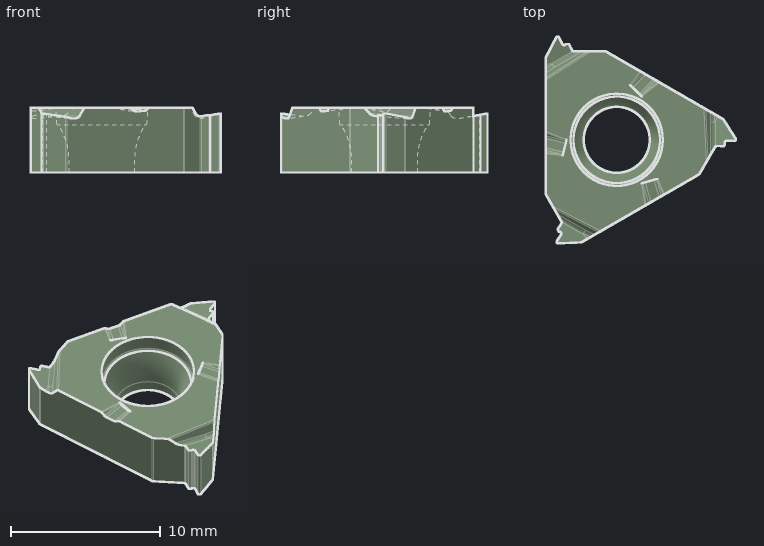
import cadquery as cq
import math

CORNERS = 3
STEP_ANGLE = 360 / CORNERS
OVERALL_WIDTH = 13.84
THICKNESS = 4.35
INNER_RADIUS = 4.76

FLANK_HALF_ANGLE = math.radians(27.5)
TIP_RADIUS = 0.11
TIP_CENTRE_Y = 6.8
SHOULDER_Y = 5.94
ROOT_Y = 6.34
CREST_Y = 6.42
ROOT_END_X = -3.46
CREST_START_X = -3.39
FOOT_X = -2.95
SIDE_BLEND = 0.25
SHOULDER_BLEND = 0.2
ROOT_BLEND = 0.08
CREST_BLEND = 0.05
FOOT_BLEND = 0.11

HOLE_RADIUS = 4.4 / 2
BORE_TOP_RADIUS = 3.09
BORE_RADIUS = 3.02
BORE_DEPTH = 1.05
BORE_CORNER_RADIUS = 0.12
SEAT_ARC_RADIUS = 4.25

RAKE_START_X = 7.96
RAKE_START_DEPTH = 0.39
RAKE_SLOPE = 0.17
GROOVE_FALL = 0.08
GROOVE_WALL_X = 6.0
GROOVE_WALL_ANGLE = math.radians(60)
GROOVE_ROOT_RADIUS = 0.3
GROOVE_MAX_DEPTH = 0.72
GROOVE_EDGE_RADIUS = 0.14
GROOVE_HALF_LENGTH = 3.05
GROOVE_MARGIN = 0.69

NOTCH_SIDE_Y = -0.21
NOTCH_TURN = 14.0
NOTCH_LENGTH = 1.31
NOTCH_DEPTH = 0.25
NOTCH_END_DEPTH = 0.1
NOTCH_FLOOR_HALF_WIDTH = 0.3
NOTCH_ROOT_RADIUS = 0.25
NOTCH_WALL_ANGLE = math.radians(42)
NOTCH_EDGE_RADIUS = 0.11
NOTCH_MARGIN = 0.42


def rotate_point(x, y, degrees):
    angle = math.radians(degrees)
    return (
        x * math.cos(angle) - y * math.sin(angle),
        x * math.sin(angle) + y * math.cos(angle),
    )


def rounded_outline(corners, plane):
    """Closed outline through (x, y, radius) corners; a radius above zero gives a tangent arc."""
    path = cq.Workplane(plane)
    for i, (x, y, radius) in enumerate(corners):
        corner = cq.Vector(x, y)
        before = cq.Vector(*corners[i - 1][:2])
        after = cq.Vector(*corners[(i + 1) % len(corners)][:2])
        to_before = (before - corner).normalized()
        to_after = (after - corner).normalized()
        half_angle = to_before.getAngle(to_after) / 2
        setback = radius / math.tan(half_angle)
        arc_start = corner + to_before * setback
        move = path.lineTo if i > 0 else path.moveTo
        path = move(arc_start.x, arc_start.y)
        if radius > 0:
            bisector = (to_before + to_after).normalized()
            middle = corner + bisector * (radius / math.sin(half_angle) - radius)
            arc_end = corner + to_after * setback
            path = path.threePointArc((middle.x, middle.y), (arc_end.x, arc_end.y))
    return path.close()


def tooth_corners():
    """Outline corners of one tooth, clockwise from its long-side flank to the next long side."""
    flank_run = math.tan(FLANK_HALF_ANGLE)
    step = math.radians(STEP_ANGLE)
    tip_x = -(OVERALL_WIDTH - 2 * TIP_RADIUS - TIP_CENTRE_Y * (1 - math.cos(step))) / math.sin(step)
    apex_y = TIP_CENTRE_Y + TIP_RADIUS / math.sin(FLANK_HALF_ANGLE)
    flank_end_y = apex_y - (INNER_RADIUS + tip_x) / flank_run
    root_start_x = tip_x + (apex_y - ROOT_Y) * flank_run
    crest_end_x = FOOT_X - (CREST_Y - SHOULDER_Y) * flank_run
    shoulder_end_x = (INNER_RADIUS - SHOULDER_Y * math.sin(step)) / -math.cos(step)
    return [
        (-INNER_RADIUS, flank_end_y, SIDE_BLEND),
        (tip_x, apex_y, TIP_RADIUS),
        (root_start_x, ROOT_Y, ROOT_BLEND),
        (ROOT_END_X, ROOT_Y, CREST_BLEND),
        (CREST_START_X, CREST_Y, CREST_BLEND),
        (crest_end_x, CREST_Y, CREST_BLEND),
        (FOOT_X, SHOULDER_Y, FOOT_BLEND),
        (shoulder_end_x, SHOULDER_Y, SHOULDER_BLEND),
    ]


def make_body():
    corners = []
    for i in range(CORNERS):
        for x, y, radius in tooth_corners():
            corners.append((*rotate_point(x, y, -i * STEP_ANGLE), radius))
    return rounded_outline(corners, "XY").extrude(THICKNESS)


def make_hole_cutter():
    """Hole, seat arc tangent to the hole, and bore, turned about the Z axis."""
    bore_z = THICKNESS - BORE_DEPTH
    corner_centre = BORE_RADIUS - BORE_CORNER_RADIUS
    seat_top = (corner_centre, bore_z - BORE_CORNER_RADIUS)
    seat_centre_r = HOLE_RADIUS + SEAT_ARC_RADIUS
    seat_angle = math.acos((seat_centre_r - seat_top[0]) / SEAT_ARC_RADIUS)
    seat_bottom_z = seat_top[1] - SEAT_ARC_RADIUS * math.sin(seat_angle)
    seat_middle = (
        seat_centre_r - SEAT_ARC_RADIUS * math.cos(seat_angle / 2),
        seat_bottom_z + SEAT_ARC_RADIUS * math.sin(seat_angle / 2),
    )
    corner_middle = (
        corner_centre + BORE_CORNER_RADIUS * math.sin(math.radians(45)),
        bore_z - BORE_CORNER_RADIUS * math.sin(math.radians(45)),
    )
    return (
        cq.Workplane("XZ")
        .lineTo(HOLE_RADIUS, 0)
        .lineTo(HOLE_RADIUS, seat_bottom_z)
        .threePointArc(seat_middle, seat_top)
        .threePointArc(corner_middle, (BORE_RADIUS, bore_z))
        .lineTo(BORE_TOP_RADIUS, THICKNESS)
        .lineTo(0, THICKNESS)
        .close()
        .revolve(360, (0, 0, 0), (0, 1, 0))
    )


def make_groove_cutter():
    """Groove swept along a falling line, with its lowest part held to a level floor."""
    wall_slope = math.tan(GROOVE_WALL_ANGLE)
    rake_start_z = THICKNESS - RAKE_START_DEPTH
    root_x = (
        (RAKE_START_DEPTH + wall_slope * GROOVE_WALL_X + RAKE_SLOPE * RAKE_START_X)
        / (wall_slope + RAKE_SLOPE)
    )
    outer_x = RAKE_START_X + GROOVE_MARGIN
    top_z = THICKNESS + GROOVE_MARGIN
    section = rounded_outline(
        [
            (GROOVE_WALL_X - GROOVE_MARGIN / wall_slope, top_z, 0),
            (root_x, THICKNESS - wall_slope * (root_x - GROOVE_WALL_X), 0),
            (outer_x, rake_start_z + RAKE_SLOPE * GROOVE_MARGIN, 0),
            (outer_x, top_z, 0),
        ],
        "XZ",
    )
    rise = GROOVE_HALF_LENGTH * GROOVE_FALL
    start = section.wire().val().translate(cq.Vector(0, -GROOVE_HALF_LENGTH, rise))
    sweep = cq.Vector(0, 2 * GROOVE_HALF_LENGTH, -2 * rise)
    groove = cq.Workplane(obj=cq.Solid.extrudeLinear(start, [], sweep))
    above_floor = (
        cq.Workplane("XY", origin=(0, 0, THICKNESS - GROOVE_MAX_DEPTH))
        .rect(2 * OVERALL_WIDTH, 2 * OVERALL_WIDTH)
        .extrude(THICKNESS)
    )
    groove = groove.intersect(above_floor)
    root_z = THICKNESS - GROOVE_MAX_DEPTH
    falling_root = cq.NearestToPointSelector((root_x, -GROOVE_HALF_LENGTH / 2, root_z))
    level_root = cq.NearestToPointSelector((root_x, GROOVE_HALF_LENGTH / 2, root_z))
    return groove.edges(cq.selectors.SumSelector(falling_root, level_root)).fillet(GROOVE_ROOT_RADIUS)


def make_notch_cutter():
    """Flared notch whose floor rises from the long side towards the hole."""
    climb = (NOTCH_DEPTH - NOTCH_END_DEPTH) / NOTCH_LENGTH
    reach = NOTCH_LENGTH + NOTCH_MARGIN
    start_z = -NOTCH_DEPTH - climb * NOTCH_MARGIN
    height = 2 * NOTCH_DEPTH
    floor_corner = NOTCH_FLOOR_HALF_WIDTH + NOTCH_ROOT_RADIUS * math.tan(NOTCH_WALL_ANGLE / 2)
    top_half_width = floor_corner + height / math.tan(NOTCH_WALL_ANGLE)
    section = rounded_outline(
        [
            (-top_half_width, height, 0),
            (-floor_corner, 0, NOTCH_ROOT_RADIUS),
            (floor_corner, 0, NOTCH_ROOT_RADIUS),
            (top_half_width, height, 0),
        ],
        "YZ",
    )
    start = section.wire().val().translate(cq.Vector(-NOTCH_MARGIN, 0, start_z))
    notch = cq.Solid.extrudeLinear(start, [], cq.Vector(reach, 0, climb * reach))
    return (
        cq.Workplane(obj=notch)
        .rotate((0, 0, 0), (0, 0, 1), -NOTCH_TURN)
        .translate((-INNER_RADIUS, NOTCH_SIDE_Y, THICKNESS))
    )


def cut_at_every_corner(part, cutter):
    for i in range(CORNERS):
        part = part.cut(cutter.rotate((0, 0, 0), (0, 0, 1), i * STEP_ANGLE))
    return part


def round_groove_edges(part):
    """Round the edge where each groove wall meets the top face."""
    for i in range(CORNERS):
        edge_point = rotate_point(GROOVE_WALL_X, 0, i * STEP_ANGLE)
        edge = cq.NearestToPointSelector((*edge_point, THICKNESS))
        part = part.faces(">Z").edges(edge).fillet(GROOVE_EDGE_RADIUS)
    return part


def round_notch_edges(part):
    """Round the two long edges where each notch meets the top face."""
    half_width = NOTCH_FLOOR_HALF_WIDTH + NOTCH_DEPTH / 2 / math.tan(NOTCH_WALL_ANGLE)
    for i in range(CORNERS):
        for side in (-half_width, half_width):
            x, y = rotate_point(NOTCH_LENGTH / 2, side, -NOTCH_TURN)
            edge_point = rotate_point(x - INNER_RADIUS, y + NOTCH_SIDE_Y, i * STEP_ANGLE)
            edge = cq.NearestToPointSelector((*edge_point, THICKNESS))
            part = part.faces(">Z").edges(edge).fillet(NOTCH_EDGE_RADIUS)
    return part


result = make_body().cut(make_hole_cutter())
result = cut_at_every_corner(result, make_groove_cutter())
result = round_groove_edges(result)
result = cut_at_every_corner(result, make_notch_cutter())
result = round_notch_edges(result)